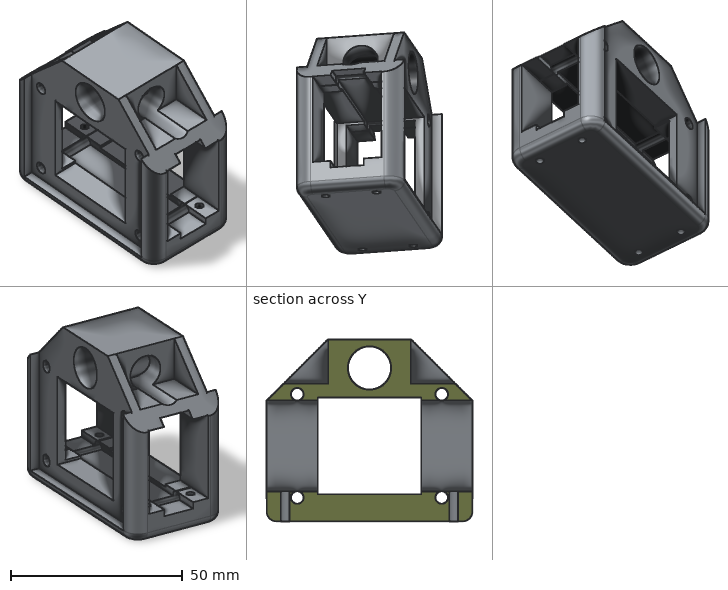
import cadquery as cq

LENGTH = 60.0
WIDTH = 32.0
HEIGHT = 53.0
CORNER_RADIUS = 5.05
BOTTOM_FILLET = 3.0

TOP_LENGTH = 24.1
SHOULDER = (LENGTH - TOP_LENGTH) / 2

PANEL_LENGTH = LENGTH - 2 * CORNER_RADIUS
PANEL_DEPTH = 3.0
PANEL_BOTTOM = BOTTOM_FILLET

SCREW_DIAMETER = 3.6
SCREW_SPACING_X = 42.0
SCREW_SPACING_Z = 30.0

SCREW_BREAKTHROUGH = 0.002
CAVITY_CENTER_Z = 22.0
CAVITY_WIDTH = 20.4
CAVITY_HEIGHT = SCREW_SPACING_Z - SCREW_DIAMETER + 2 * SCREW_BREAKTHROUGH
CHANNEL_WIDTH = 9.9
CHANNEL_HEIGHT = 30.5

WINDOW_LENGTH = 30.0
WINDOW_HEIGHT = 28.0

FLOOR_HOLE_DIAMETER = 2.4
FLOOR_HOLE_SPACING_X = 49.0
FLOOR_HOLE_SPACING_Y = (CAVITY_WIDTH + CHANNEL_WIDTH) / 2

BORE_CENTER_Z = 44.65
BORE_Y_DIAMETER = 12.5
BORE_X_DIAMETER = 10.4

POCKET_WIDTH = 20.0
POCKET_LENGTH = (PANEL_LENGTH - TOP_LENGTH) / 2
POCKET_FLOOR = HEIGHT - POCKET_LENGTH


def centered_box(length, width, height, center_z):
    """Box centred on the Z axis at the given height."""
    return cq.Workplane("XY").box(length, width, height).translate((0, 0, center_z))


def cylinder_along_y(diameter, x, z):
    """Cylinder crossing the full width at (x, z)."""
    return (
        cq.Workplane("XZ", origin=(0, WIDTH / 2, 0))
        .center(x, z)
        .circle(diameter / 2)
        .extrude(WIDTH)
    )


def make_block():
    """Rounded block with both top ends sloped."""
    block = cq.Workplane("XY").box(LENGTH, WIDTH, HEIGHT, centered=(True, True, False))
    block = block.edges("|Z").fillet(CORNER_RADIUS)
    block = block.faces("<Z").edges().fillet(BOTTOM_FILLET)
    profile = (
        cq.Workplane("XZ", origin=(0, WIDTH / 2, 0))
        .moveTo(-LENGTH / 2, 0)
        .lineTo(LENGTH / 2, 0)
        .lineTo(LENGTH / 2, HEIGHT - SHOULDER)
        .lineTo(TOP_LENGTH / 2, HEIGHT)
        .lineTo(-TOP_LENGTH / 2, HEIGHT)
        .lineTo(-LENGTH / 2, HEIGHT - SHOULDER)
        .close()
        .extrude(WIDTH)
    )
    return block.intersect(profile)


def cut_panels(body):
    """Recess the long sides between the corner posts."""
    panel_height = HEIGHT - PANEL_BOTTOM
    panel = centered_box(PANEL_LENGTH, PANEL_DEPTH, panel_height, PANEL_BOTTOM + panel_height / 2)
    panel_y = (WIDTH - PANEL_DEPTH) / 2
    for side in (-1, 1):
        body = body.cut(panel.translate((0, side * panel_y, 0)))
    return body


def cut_openings(body):
    """Cut the cavity, its channels and the side window."""
    body = body.cut(centered_box(LENGTH, CAVITY_WIDTH, CAVITY_HEIGHT, CAVITY_CENTER_Z))
    body = body.cut(centered_box(LENGTH, CHANNEL_WIDTH, CHANNEL_HEIGHT, CAVITY_CENTER_Z))
    return body.cut(centered_box(WINDOW_LENGTH, WIDTH, WINDOW_HEIGHT, CAVITY_CENTER_Z))


def cut_pockets(body):
    """Cut a pocket into each sloped shoulder."""
    pocket_height = HEIGHT - POCKET_FLOOR
    pocket = centered_box(POCKET_LENGTH, POCKET_WIDTH, pocket_height, POCKET_FLOOR + pocket_height / 2)
    pocket_x = (TOP_LENGTH + POCKET_LENGTH) / 2
    for side in (-1, 1):
        body = body.cut(pocket.translate((side * pocket_x, 0, 0)))
    return body


def cut_bores(body):
    """Cut the two crossing bores of the top block."""
    bore_x = (
        cq.Workplane("YZ", origin=(-LENGTH / 2, 0, 0))
        .center(0, BORE_CENTER_Z)
        .circle(BORE_X_DIAMETER / 2)
        .extrude(LENGTH)
    )
    return body.cut(bore_x).cut(cylinder_along_y(BORE_Y_DIAMETER, 0, BORE_CENTER_Z))


def cut_screw_holes(body):
    """Cut the four screw holes across the width."""
    for x_side in (-1, 1):
        for z_side in (-1, 1):
            x = x_side * SCREW_SPACING_X / 2
            z = CAVITY_CENTER_Z + z_side * SCREW_SPACING_Z / 2
            body = body.cut(cylinder_along_y(SCREW_DIAMETER, x, z))
    return body


def cut_floor_holes(body):
    """Drill the four vertical holes through the floor ledges."""
    holes = (
        cq.Workplane("XY")
        .rect(FLOOR_HOLE_SPACING_X, FLOOR_HOLE_SPACING_Y, forConstruction=True)
        .vertices()
        .circle(FLOOR_HOLE_DIAMETER / 2)
        .extrude(CAVITY_CENTER_Z)
    )
    return body.cut(holes)


result = make_block()
result = cut_panels(result)
result = cut_openings(result)
result = cut_pockets(result)
result = cut_bores(result)
result = cut_screw_holes(result)
result = cut_floor_holes(result)